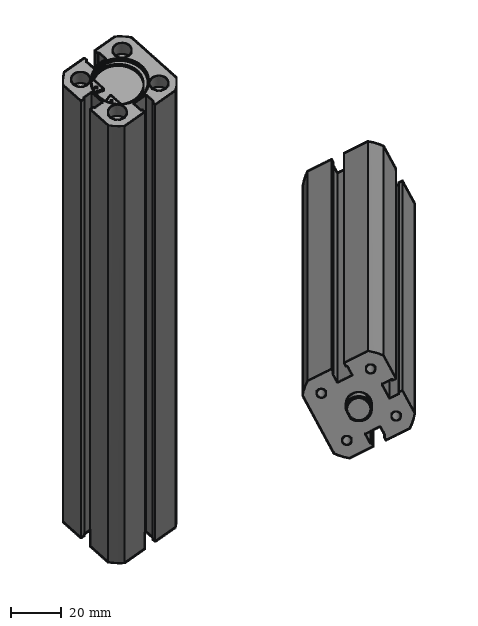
import math

import cadquery as cq

OVERALL_LENGTH = 288.0
BODY_WIDTH = 36.0
ROD_PROTRUSION = 6.0
BARREL_LENGTH = OVERALL_LENGTH - ROD_PROTRUSION
CORNER_RADIUS = 22.5

HOLE_SPACING = 22.0
HOLE_DIAMETER = 3.7
COUNTERBORE_DIAMETER = 7.5
COUNTERBORE_DEPTH = 7.2

SLOT_MOUTH_WIDTH = 5.5
SLOT_INNER_WIDTH = 6.5
SLOT_LIP = 1.7
SLOT_DEPTH = 6.0
SLOT_ANGLES = (0, 180, 270)

RECESS_DIAMETER = 22.2
RECESS_CHAMFER = 0.43
RING_RECESS = 1.2
RING_THICKNESS = 1.2
RING_INNER_DIAMETER = 20.2
RING_ECCENTRICITY = 1.0
LUG_TOP_Y = -6.5
LUG_HALF_GAP_ANGLE = 17.0
LUG_HOLE_DIAMETER = 1.0
LUG_HOLE_X = 4.5
LUG_HOLE_Y = -8.4
CAP_THICKNESS = 5.8

ROD_DIAMETER = 10.5
ROD_CHAMFER = 0.5
FLAT_WIDTH = 9.2
FLAT_LENGTH = 4.3

TOP_Z = OVERALL_LENGTH
BARREL_BOTTOM_Z = ROD_PROTRUSION
RING_TOP_Z = TOP_Z - RING_RECESS
CAP_TOP_Z = RING_TOP_Z - RING_THICKNESS
CAP_BOTTOM_Z = CAP_TOP_Z - CAP_THICKNESS


def cylinder(diameter, bottom_z, top_z):
    return cq.Workplane("XY", origin=(0, 0, bottom_z)).circle(diameter / 2).extrude(top_z - bottom_z)


def slot_cutter(angle):
    """Lipped slot along the full barrel, open toward +X before turning by `angle`."""
    face_x = BODY_WIDTH / 2
    lip_x = face_x - SLOT_LIP
    floor_x = face_x - SLOT_DEPTH
    half_mouth = SLOT_MOUTH_WIDTH / 2
    half_inner = SLOT_INNER_WIDTH / 2
    outline = [
        (face_x, -half_mouth),
        (face_x, half_mouth),
        (lip_x, half_mouth),
        (lip_x, half_inner),
        (floor_x, half_inner),
        (floor_x, -half_inner),
        (lip_x, -half_inner),
        (lip_x, -half_mouth),
    ]
    slot = cq.Workplane("XY", origin=(0, 0, BARREL_BOTTOM_Z)).polyline(outline).close().extrude(BARREL_LENGTH)
    return slot.rotate((0, 0, 0), (0, 0, 1), angle)


def make_barrel():
    """Square barrel with turned corners, mounting holes, three slots, cap recess and rod bore."""
    block = (
        cq.Workplane("XY", origin=(0, 0, BARREL_BOTTOM_Z)).rect(BODY_WIDTH, BODY_WIDTH).extrude(BARREL_LENGTH)
    )
    barrel = block.intersect(cylinder(2 * CORNER_RADIUS, BARREL_BOTTOM_Z, TOP_Z))
    barrel = (
        barrel.faces(">Z")
        .workplane(origin=(0, 0, TOP_Z))
        .rect(HOLE_SPACING, HOLE_SPACING, forConstruction=True)
        .vertices()
        .cboreHole(HOLE_DIAMETER, COUNTERBORE_DIAMETER, COUNTERBORE_DEPTH)
    )
    for angle in SLOT_ANGLES:
        barrel = barrel.cut(slot_cutter(angle))

    barrel = barrel.cut(cylinder(RECESS_DIAMETER, CAP_BOTTOM_Z, TOP_Z))
    mouth_diameter = RECESS_DIAMETER + 2 * RECESS_CHAMFER
    chamfer_cone = (
        cq.Workplane("XY", origin=(0, 0, TOP_Z))
        .circle(mouth_diameter / 2)
        .workplane(offset=-RECESS_CHAMFER)
        .circle(RECESS_DIAMETER / 2)
        .loft()
    )
    barrel = barrel.cut(chamfer_cone)
    return barrel.cut(cylinder(ROD_DIAMETER, BARREL_BOTTOM_Z, CAP_BOTTOM_Z))


def make_cap():
    """Plain disc that closes the recess under the retaining ring."""
    return cylinder(RECESS_DIAMETER, CAP_BOTTOM_Z, CAP_TOP_Z)


def make_retaining_ring():
    """Eccentric snap ring, widest at +Y, open at -Y between two drilled lugs."""
    ring = cylinder(RECESS_DIAMETER, CAP_TOP_Z, RING_TOP_Z)
    inner_disc = cylinder(RING_INNER_DIAMETER, CAP_TOP_Z, RING_TOP_Z).translate((0, -RING_ECCENTRICITY, 0))
    above_lugs = (
        cq.Workplane("XY", origin=(0, LUG_TOP_Y, CAP_TOP_Z))
        .rect(RECESS_DIAMETER, RECESS_DIAMETER)
        .extrude(RING_THICKNESS)
        .translate((0, RECESS_DIAMETER / 2, 0))
    )
    ring = ring.cut(inner_disc.intersect(above_lugs))

    gap_y = -RECESS_DIAMETER
    gap_x = -gap_y * math.tan(math.radians(LUG_HALF_GAP_ANGLE))
    gap = (
        cq.Workplane("XY", origin=(0, 0, CAP_TOP_Z))
        .polyline([(0, 0), (-gap_x, gap_y), (gap_x, gap_y)])
        .close()
        .extrude(RING_THICKNESS)
    )
    ring = ring.cut(gap)

    lug_hole = cylinder(LUG_HOLE_DIAMETER, CAP_TOP_Z, RING_TOP_Z)
    for side in (-1, 1):
        ring = ring.cut(lug_hole.translate((side * LUG_HOLE_X, LUG_HOLE_Y, 0)))
    return ring


def make_rod():
    """Plain rod with a chamfered end and two wrench flats facing -Y and +Y."""
    rod = cylinder(ROD_DIAMETER, 0, CAP_BOTTOM_Z).faces("<Z").chamfer(ROD_CHAMFER)
    flat_cut_depth = (ROD_DIAMETER - FLAT_WIDTH) / 2
    for side in (-1, 1):
        flat = (
            cq.Workplane("XY")
            .rect(ROD_DIAMETER, flat_cut_depth)
            .extrude(FLAT_LENGTH)
            .translate((0, side * (FLAT_WIDTH + flat_cut_depth) / 2, 0))
        )
        rod = rod.cut(flat)
    return rod


barrel = make_barrel()
cap = make_cap()
retaining_ring = make_retaining_ring()
rod = make_rod()

result = cq.Compound.makeCompound([barrel.val(), cap.val(), retaining_ring.val(), rod.val()])